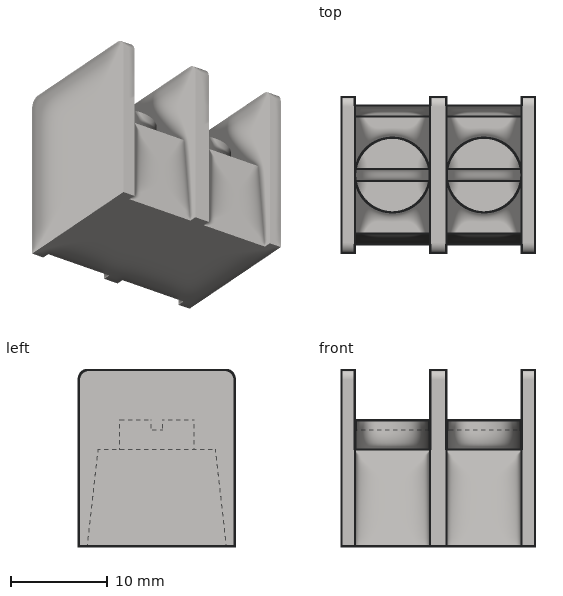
import cadquery as cq

width = 20.0
plate_depth = 16.1
plate_height = 18.2
plate_corner_radius = 1.0
end_plate_thickness = 1.4
middle_plate_thickness = 1.7
base_height = 10.0
base_bottom_depth = 14.35
base_top_depth = 12.1

screw_diameter = 7.7
screw_height = 3.0
slot_width = 1.2
slot_depth = 1.0

bay_width = (width - 2 * end_plate_thickness - middle_plate_thickness) / 2
bay_pitch = bay_width + middle_plate_thickness
end_plate_x = (width - end_plate_thickness) / 2


def make_plate(center_x, thickness):
    """Upright barrier plate with its two upper corners rounded."""
    return (
        cq.Workplane("XY")
        .box(thickness, plate_depth, plate_height, centered=(True, True, False))
        .edges("|X and >Z")
        .fillet(plate_corner_radius)
        .translate((center_x, 0, 0))
    )


def make_base():
    """Base with a trapezoidal section, running the full width."""
    return (
        cq.Workplane("YZ")
        .moveTo(-base_bottom_depth / 2, 0)
        .lineTo(base_bottom_depth / 2, 0)
        .lineTo(base_top_depth / 2, base_height)
        .lineTo(-base_top_depth / 2, base_height)
        .close()
        .extrude(width / 2, both=True)
    )


def make_housing():
    """Base and its three barrier plates as one solid."""
    return (
        make_base()
        .union(make_plate(-end_plate_x, end_plate_thickness))
        .union(make_plate(0, middle_plate_thickness))
        .union(make_plate(end_plate_x, end_plate_thickness))
    )


def make_screw(center_x):
    """Screw head with a driver slot cut straight across it along X."""
    head = cq.Workplane("XY").circle(screw_diameter / 2).extrude(screw_height)
    slot = (
        cq.Workplane("XY")
        .box(screw_diameter, slot_width, slot_depth, centered=(True, True, False))
        .translate((0, 0, screw_height - slot_depth))
    )
    return head.cut(slot).translate((center_x, 0, base_height))


housing = make_housing()
screws = [make_screw(side * bay_pitch / 2) for side in (-1, 1)]

result = cq.Compound.makeCompound([housing.val(), *[screw.val() for screw in screws]])